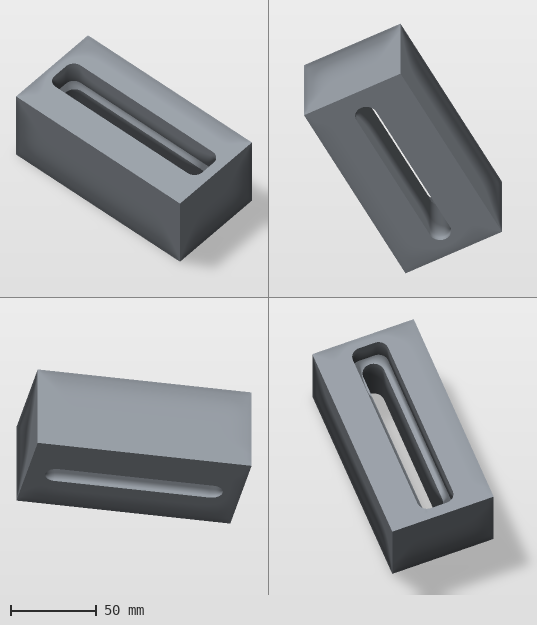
import cadquery as cq

block_length = 127.0
block_width = 63.5
block_height = 50.8

opening_offset_y = 0.13
pocket_length = 114.3
pocket_width = 22.1
pocket_corner_radius = 6.0
pocket_depth = 15.1
slot_length = 105.3
slot_width = 13.0


def make_block():
    """Plain block centred in X and Y, standing on Z = 0."""
    return cq.Workplane("XY").box(block_length, block_width, block_height, centered=(True, True, False))


def cut_pocket(body):
    """Round-cornered pocket sunk into the top face."""
    pocket_floor = block_height - pocket_depth
    pocket = (
        cq.Workplane("XY", origin=(0, opening_offset_y, pocket_floor))
        .rect(pocket_length, pocket_width)
        .extrude(pocket_depth)
        .edges("|Z")
        .fillet(pocket_corner_radius)
    )
    return body.cut(pocket)


def cut_slot(body):
    """Round-ended slot through the full height, leaving a ledge around the pocket floor."""
    slot = (
        cq.Workplane("XY", origin=(0, opening_offset_y, 0))
        .slot2D(slot_length, slot_width)
        .extrude(block_height)
    )
    return body.cut(slot)


result = cut_slot(cut_pocket(make_block()))